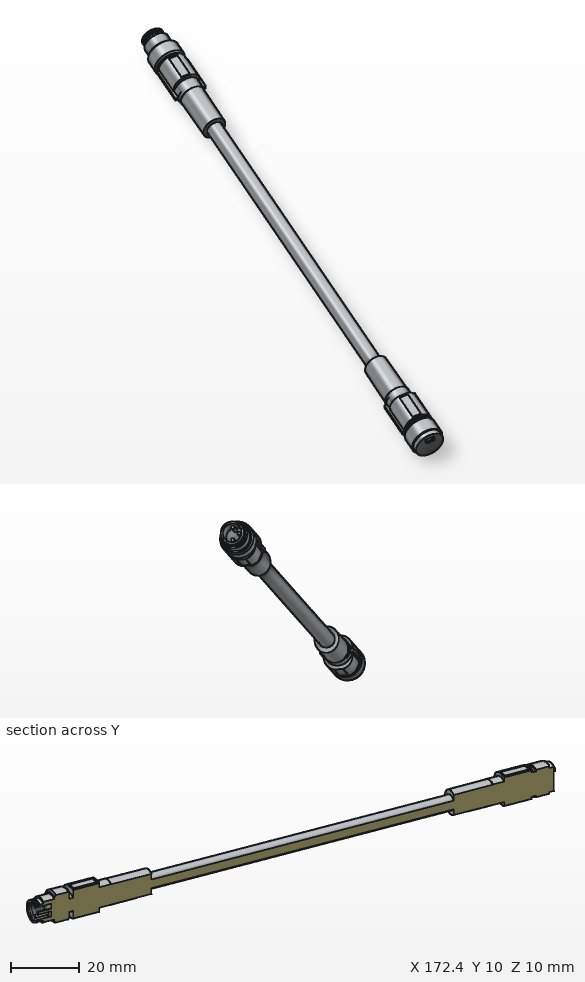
import cadquery as cq

LENGTH = 172.4
CABLE_RADIUS = 2.4
BODY_RADIUS = 4.0
BOOT_START_HALF_WIDTH = 3.8
BOOT_END_HALF_WIDTH = 3.6
RING_RADIUS = 5.0
COLLAR_RADIUS = 4.5
RING_CHAMFER = 0.5

PLUG_TIP_END = 0.7
PLUG_BODY_START = 2.5
PLUG_RING_START = 6.2
PLUG_RING_END = 11.4
PLUG_GRIP_START = 12.4
PLUG_GRIP_END = 21.2
PLUG_PAD_END = 23.8
PLUG_BOOT_START = 25.0
PLUG_BOOT_END = 38.5
TIP_RADIUS = 3.5
TIP_GROOVE_WIDTH = 0.7
TIP_GROOVE_RADIUS = 3.1
NECK_RADIUS = 3.0

CAVITY_RADIUS = 2.8
CAVITY_DEPTH = 5.2
PIN_RADIUS = 0.5
PIN_OFFSET = 1.9
PIN_RECESS = 0.9
PIN_PLACES = [(0, PIN_OFFSET), (0, -PIN_OFFSET), (-PIN_OFFSET, 0)]

SOCKET_BOOT_START = 138.5
SOCKET_BOOT_END = 151.4
SOCKET_PAD_START = 152.4
SOCKET_FIN_START = 153.1
SOCKET_GRIP_START = 155.2
SOCKET_GRIP_END = 164.3
SOCKET_SHOULDER_END = 164.8
SOCKET_RING_START = 165.7
SOCKET_RING_END = 170.2
SOCKET_FACE = 171.7
SHOULDER_RADIUS = 4.7

NUB_WIDTH = 2.8
NUB_HEIGHT = 0.9
NUB_CENTRE_Z = 2.5

GRIP_HALF_HEIGHT = 5.0
GRIP_HALF_WIDTH = 4.1
GRIP_FLAT_HALF_WIDTH = 1.4
GRIP_SHOULDER_Y = 3.6
GRIP_SHOULDER_Z = 3.5
PAD_RADIUS = 3.5
FIN_THICKNESS = 1.0
POCKET_WIDTH = 2 * GRIP_FLAT_HALF_WIDTH
POCKET_DEPTH = 0.2
POCKET_END_RIM = 0.5


def rod(start, end, radius):
    """Solid cylinder on the cable axis."""
    return cq.Workplane("YZ", origin=(start, 0, 0)).circle(radius).extrude(end - start)


def boot(grip_end, cable_end):
    """Strain relief of constant height that narrows slightly in Y towards the cable."""
    return (
        cq.Workplane("YZ", origin=(grip_end, 0, 0))
        .ellipse(BOOT_START_HALF_WIDTH, BODY_RADIUS)
        .workplane(offset=cable_end - grip_end)
        .ellipse(BOOT_END_HALF_WIDTH, BODY_RADIUS)
        .loft()
    )


def block(start, end, width, height, centre_z=0):
    """Box between two X stations, centred on Y = 0."""
    return cq.Workplane("XY").box(end - start, width, height).translate(((start + end) / 2, 0, centre_z))


def grip(start, end):
    """Flattened round grip with a shallow pocket above and below."""
    body = (
        cq.Workplane("YZ", origin=(start, 0, 0))
        .moveTo(-GRIP_FLAT_HALF_WIDTH, GRIP_HALF_HEIGHT)
        .lineTo(GRIP_FLAT_HALF_WIDTH, GRIP_HALF_HEIGHT)
        .threePointArc((GRIP_SHOULDER_Y, GRIP_SHOULDER_Z), (GRIP_HALF_WIDTH, 0))
        .threePointArc((GRIP_SHOULDER_Y, -GRIP_SHOULDER_Z), (GRIP_FLAT_HALF_WIDTH, -GRIP_HALF_HEIGHT))
        .lineTo(-GRIP_FLAT_HALF_WIDTH, -GRIP_HALF_HEIGHT)
        .threePointArc((-GRIP_SHOULDER_Y, -GRIP_SHOULDER_Z), (-GRIP_HALF_WIDTH, 0))
        .threePointArc((-GRIP_SHOULDER_Y, GRIP_SHOULDER_Z), (-GRIP_FLAT_HALF_WIDTH, GRIP_HALF_HEIGHT))
        .close()
        .extrude(end - start)
    )
    for side in (1, -1):
        pocket = block(
            start + POCKET_END_RIM,
            end - POCKET_END_RIM,
            POCKET_WIDTH,
            2 * POCKET_DEPTH,
            side * GRIP_HALF_HEIGHT,
        )
        body = body.cut(pocket)
    return body


def side_fins(start, end):
    """Thin fin across the part, reaching out in +Y and -Y."""
    return block(start, end, 2 * RING_RADIUS, FIN_THICKNESS)


def side_pads(start, end):
    """Rounded swellings that carry the grip's width past its end."""
    pad_offset = GRIP_HALF_WIDTH - PAD_RADIUS
    return (
        cq.Workplane("YZ", origin=(start, 0, 0))
        .pushPoints([(pad_offset, 0), (-pad_offset, 0)])
        .circle(PAD_RADIUS)
        .extrude(end - start)
    )


def plug():
    groove_end = PLUG_TIP_END + TIP_GROOVE_WIDTH
    body = rod(0, PLUG_TIP_END, TIP_RADIUS)
    body = body.union(rod(PLUG_TIP_END, groove_end, TIP_GROOVE_RADIUS))
    body = body.union(rod(groove_end, PLUG_BODY_START, TIP_RADIUS))
    body = body.union(rod(PLUG_BODY_START, PLUG_RING_START, BODY_RADIUS))
    body = body.union(rod(PLUG_RING_START, PLUG_RING_END, RING_RADIUS).edges().chamfer(RING_CHAMFER))
    body = body.union(rod(PLUG_RING_END, PLUG_GRIP_START, NECK_RADIUS))
    body = body.union(grip(PLUG_GRIP_START, PLUG_GRIP_END))
    body = body.union(rod(PLUG_GRIP_END, PLUG_BOOT_START, BODY_RADIUS))
    body = body.union(boot(PLUG_BOOT_START, PLUG_BOOT_END))
    body = body.union(side_pads(PLUG_GRIP_END, PLUG_PAD_END))
    body = body.union(side_fins(PLUG_GRIP_START, PLUG_PAD_END))
    body = body.cut(rod(0, CAVITY_DEPTH, CAVITY_RADIUS))
    pins = (
        cq.Workplane("YZ", origin=(PIN_RECESS, 0, 0))
        .pushPoints(PIN_PLACES)
        .circle(PIN_RADIUS)
        .extrude(PLUG_RING_START - PIN_RECESS)
    )
    return body.union(pins)


def socket():
    body = boot(SOCKET_BOOT_END, SOCKET_BOOT_START)
    body = body.union(rod(SOCKET_BOOT_END, SOCKET_GRIP_START, BODY_RADIUS))
    body = body.union(side_pads(SOCKET_PAD_START, SOCKET_GRIP_START))
    body = body.union(grip(SOCKET_GRIP_START, SOCKET_GRIP_END))
    body = body.union(side_fins(SOCKET_FIN_START, SOCKET_GRIP_END))
    body = body.union(rod(SOCKET_GRIP_END, SOCKET_SHOULDER_END, SHOULDER_RADIUS))
    body = body.union(rod(SOCKET_SHOULDER_END, SOCKET_FACE, COLLAR_RADIUS))
    body = body.union(rod(SOCKET_RING_START, SOCKET_RING_END, RING_RADIUS))
    return body.union(block(SOCKET_FACE, LENGTH, NUB_WIDTH, NUB_HEIGHT, NUB_CENTRE_Z))


cable = rod(PLUG_BOOT_END, SOCKET_BOOT_START, CABLE_RADIUS)
result = plug().union(cable).union(socket())